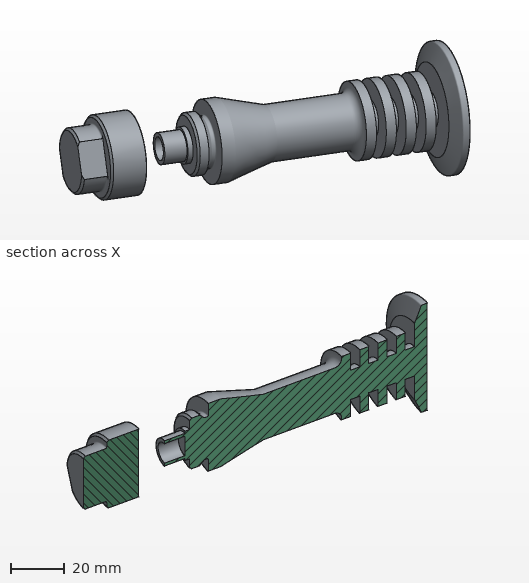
import cadquery as cq
import math

TOTAL_LENGTH = 148.9

HEAD_DIAMETER = 50.5
HEAD_BASE_DIAMETER = 35.9
HEAD_RIM_WIDTH = 2.7
HEAD_THICKNESS = 5.7
RIM_ROUND = 0.6

STEM_DIAMETER = 14.0
FIN_DIAMETER = 30.0
FIN_COUNT = 4
FIN_THICKNESS = 4.0
FIN_GAP = 3.9

BARREL_DIAMETER = 21.6
BARREL_FILLET = 3.0
BARREL_LENGTH = 33.7
FLARE_LENGTH = 18.5
COLLAR_DIAMETER = 32.0
COLLAR_LENGTH = 5.5

GROOVE_DIAMETER = 20.0
GROOVE_FILLET = 0.5
GROOVE_WIDTH = 1.6
PLUG_DIAMETER = 24.0
PLUG_LENGTH = 8.0
PLUG_CHAMFER = 0.9
NECK_LENGTH = 2.1
TIP_DIAMETER = 12.0
TIP_LENGTH = 8.8
TIP_BORE_DIAMETER = 9.0

CAP_DIAMETER = COLLAR_DIAMETER
CAP_LENGTH = 24.1
CAP_CHAMFER = 0.9
BOSS_DIAMETER = 25.0
BOSS_LENGTH = 10.1
BOSS_CHAMFER = 0.9
BOSS_FILLET = 0.6
BOSS_ACROSS_FLATS = 20.7
FLAT_ANGLE = 21.4

FIN_PITCH = FIN_THICKNESS + FIN_GAP
HEAD_BASE_Y = TOTAL_LENGTH - HEAD_THICKNESS
BARREL_TOP_Y = HEAD_BASE_Y - FIN_COUNT * FIN_PITCH
FLARE_TOP_Y = BARREL_TOP_Y - BARREL_LENGTH
COLLAR_TOP_Y = FLARE_TOP_Y - FLARE_LENGTH
PLUG_TOP_Y = COLLAR_TOP_Y - COLLAR_LENGTH
NECK_TOP_Y = PLUG_TOP_Y - PLUG_LENGTH
TIP_TOP_Y = NECK_TOP_Y - NECK_LENGTH
TIP_END_Y = TIP_TOP_Y - TIP_LENGTH


def revolve(profile):
    """Turn a closed radius-height profile around the Y axis."""
    return profile.close().revolve(360, (0, 0, 0), (0, 1, 0))


def cylinder(diameter, y_start, y_end):
    """Round bar on the Y axis between two heights."""
    return cq.Workplane("XZ", origin=(0, y_end, 0)).circle(diameter / 2).extrude(y_end - y_start)


def make_head():
    rim_y = TOTAL_LENGTH - HEAD_RIM_WIDTH
    head = revolve(
        cq.Workplane("XY")
        .moveTo(0, TOTAL_LENGTH)
        .lineTo(HEAD_DIAMETER / 2, TOTAL_LENGTH)
        .lineTo(HEAD_DIAMETER / 2, rim_y)
        .lineTo(HEAD_BASE_DIAMETER / 2, HEAD_BASE_Y)
        .lineTo(0, HEAD_BASE_Y)
    )
    rim_edge = cq.selectors.BoxSelector(
        (-HEAD_DIAMETER, rim_y - RIM_ROUND, -HEAD_DIAMETER),
        (HEAD_DIAMETER, rim_y + RIM_ROUND, HEAD_DIAMETER),
    )
    return head.edges(rim_edge).fillet(RIM_ROUND)


def make_finned_stem():
    stem = cylinder(STEM_DIAMETER, BARREL_TOP_Y, HEAD_BASE_Y)
    for index in range(FIN_COUNT):
        fin_bottom_y = BARREL_TOP_Y + index * FIN_PITCH
        stem = stem.union(cylinder(FIN_DIAMETER, fin_bottom_y, fin_bottom_y + FIN_THICKNESS))
    return stem


def make_barrel():
    """Barrel with a concave fillet at the last fin, a conical flare and a collar."""
    radius = BARREL_DIAMETER / 2
    arc_offset = BARREL_FILLET * (1 - math.sqrt(0.5))
    return revolve(
        cq.Workplane("XY")
        .moveTo(0, BARREL_TOP_Y)
        .lineTo(radius + BARREL_FILLET, BARREL_TOP_Y)
        .threePointArc(
            (radius + arc_offset, BARREL_TOP_Y - arc_offset),
            (radius, BARREL_TOP_Y - BARREL_FILLET),
        )
        .lineTo(radius, FLARE_TOP_Y)
        .lineTo(COLLAR_DIAMETER / 2, COLLAR_TOP_Y)
        .lineTo(COLLAR_DIAMETER / 2, PLUG_TOP_Y)
        .lineTo(0, PLUG_TOP_Y)
    )


def make_plug():
    """Plug behind a filleted groove, with a 45 degree shoulder and a chamfered end."""
    radius = PLUG_DIAMETER / 2
    groove_radius = GROOVE_DIAMETER / 2
    shoulder_y = PLUG_TOP_Y - GROOVE_WIDTH
    arc_offset = GROOVE_FILLET * (1 - math.sqrt(0.5))
    half_turn = math.radians(22.5)
    shoulder_tangent = GROOVE_FILLET * math.tan(half_turn)
    bend_radial = GROOVE_FILLET * (1 - math.cos(half_turn))
    bend_axial = GROOVE_FILLET * math.sin(half_turn)
    shoulder_step = shoulder_tangent * math.sqrt(0.5)
    return revolve(
        cq.Workplane("XY")
        .moveTo(0, PLUG_TOP_Y)
        .lineTo(groove_radius + GROOVE_FILLET, PLUG_TOP_Y)
        .threePointArc(
            (groove_radius + arc_offset, PLUG_TOP_Y - arc_offset),
            (groove_radius, PLUG_TOP_Y - GROOVE_FILLET),
        )
        .lineTo(groove_radius, shoulder_y + shoulder_tangent)
        .threePointArc(
            (groove_radius + bend_radial, shoulder_y + shoulder_tangent - bend_axial),
            (groove_radius + shoulder_step, shoulder_y - shoulder_step),
        )
        .lineTo(radius, shoulder_y - (radius - groove_radius))
        .lineTo(radius, NECK_TOP_Y + PLUG_CHAMFER)
        .lineTo(radius - PLUG_CHAMFER, NECK_TOP_Y)
        .lineTo(0, NECK_TOP_Y)
    )


def make_tip():
    neck = cylinder(STEM_DIAMETER, TIP_TOP_Y, NECK_TOP_Y)
    return neck.union(cylinder(TIP_DIAMETER, TIP_END_Y, TIP_TOP_Y))


def make_spindle():
    spindle = make_head()
    for section in (make_finned_stem(), make_barrel(), make_plug(), make_tip()):
        spindle = spindle.union(section)
    return spindle.cut(cylinder(TIP_BORE_DIAMETER, TIP_END_Y, TIP_TOP_Y))


def make_boss():
    """Chamfered round boss, flared by a fillet at its base and trimmed by two parallel flats."""
    radius = BOSS_DIAMETER / 2
    arc_offset = BOSS_FILLET * (1 - math.sqrt(0.5))
    boss = revolve(
        cq.Workplane("XY")
        .lineTo(radius - BOSS_CHAMFER, 0)
        .lineTo(radius, BOSS_CHAMFER)
        .lineTo(radius, BOSS_LENGTH - BOSS_FILLET)
        .threePointArc(
            (radius + arc_offset, BOSS_LENGTH - arc_offset),
            (radius + BOSS_FILLET, BOSS_LENGTH),
        )
        .lineTo(0, BOSS_LENGTH)
    )
    flats = (
        cq.Workplane("XY")
        .box(BOSS_ACROSS_FLATS, BOSS_LENGTH, CAP_DIAMETER)
        .translate((0, BOSS_LENGTH / 2, 0))
        .rotate((0, 0, 0), (0, 1, 0), -FLAT_ANGLE)
    )
    return boss.intersect(flats)


def make_cap():
    body = cylinder(CAP_DIAMETER, BOSS_LENGTH, CAP_LENGTH).faces("<Y").chamfer(CAP_CHAMFER)
    return body.union(make_boss())


spindle = make_spindle()
cap = make_cap()
result = cq.Compound.makeCompound([spindle.val(), cap.val()])